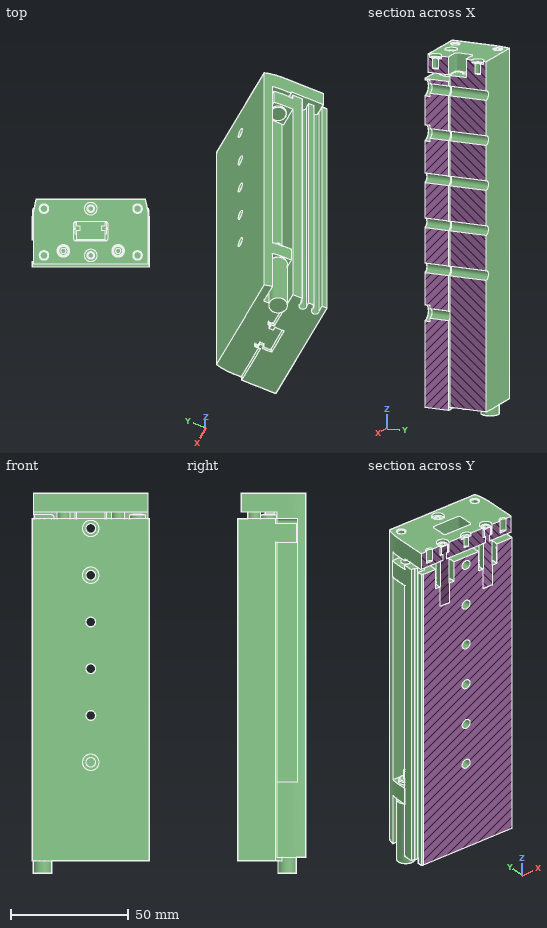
import cadquery as cq


total_height = 162.4
housing_width = 50.0
total_depth = 29.0
housing_bottom = 5.4
housing_top = 151.5
housing_depth = 16.2
table_bottom = 6.8
table_width = 49.0
table_front = 16.7
pitch = 20.0

flank_start = 20.8
flank_inset = 1.22

plate_bottom = 154.3
plate_front = 1.5
plate_hole_row = 5.0
corner_hole_diameter = 3.2
center_hole_diameter = 2.5
thread_relief = 0.4
tapped_depth = 6.0
locating_diameter = 5.4
locating_depth = 1.3
window_width = 14.6
window_front = 11.2
window_back = 19.5
window_corner = 1.0

rail_width = 12.3
rail_front = 11.7
rail_root = 19.0
ball_groove_front = 15.6
ball_groove_back = 17.5
ball_groove_depth = 1.6
relief_width = 13.3
guide_ledge = 14.1
guide_top = 149.4

pocket_inner = 15.6
pocket_back = 25.5
pocket_bottom = 39.0
pocket_top = 153.3
closed_pocket_top = housing_top
pocket_fillet = 1.6
adjuster_block_bottom = 31.0
stop_bottom = 141.3
stop_top = 149.4
stop_clearance = 0.3
stop_axis_x = 20.6
stop_axis_y = 21.1
stop_hole_diameter = 4.2
bumper_diameter = 7.0
bumper_seat = 4.0
bumper_projection = 1.0

absorber_diameter = 8.0
absorber_chamfer = 1.0
absorber_neck_diameter = 6.0
absorber_neck_top = 40.6
absorber_neck_chamfer = 0.5
absorber_tip_diameter = 1.8
absorber_tip_top = 44.5

groove_diameter = 3.2
groove_opening = 3.0
groove_centers = [3.9, 9.7]
groove_step_width = 0.5
groove_step_depth = 1.6
groove_land_inset = 1.0
groove_depth = 5.2
face_hole_diameter = 4.0
face_hole_top = 147.3
face_counterbore = 7.0
face_counterbore_depth = 2.5
counterbored_rows = [0, 1, 5]
through_rows = 5
face_hole_rows = 6

plug_x = 20.0
plug_y = 13.2
plug_diameter = 6.7
plug_tip_diameter = 3.2
plug_side_height = 1.5
plug_height = 2.0

rod_x = 11.7
rod_y = 7.0
rod_diameter = 5.5
rod_insertion = 19.5
gland_diameter = 10.0
gland_depth = 9.7
screw_hole_diameter = 5.4
rod_neck_diameter = 3.2
rod_head_diameter = 4.5
rod_head_chamfer = 0.3
rod_head_bottom = 157.5
rod_head_top = 161.5
rod_socket_diameter = 2.5
rod_socket_depth = 1.6


def box(x0, x1, y0, y1, z0, z1):
    """Box between two opposite corners."""
    return cq.Workplane("XY").box(x1 - x0, y1 - y0, z1 - z0, centered=False).translate((x0, y0, z0))


def rod(x, y, diameter, z0, z1):
    """Vertical cylinder between two heights."""
    return cq.Workplane("XY", origin=(x, y, z0)).circle(diameter / 2).extrude(z1 - z0)


def face_hole(z, diameter, y0, y1):
    """Cylinder along Y on the centre line at height z."""
    return cq.Workplane("XZ", origin=(0, y0, z)).circle(diameter / 2).extrude(y0 - y1)


def face_hole_height(row):
    return face_hole_top - row * pitch


def flanked_block(width, y0, y1, z0, z1):
    """Block with straight sides that curve inward beyond flank_start."""
    half = width / 2
    right = (
        cq.Workplane("XY", origin=(0, 0, z0))
        .moveTo(0, y0)
        .lineTo(half, y0)
        .lineTo(half, flank_start)
        .tangentArcPoint((half - flank_inset, total_depth), relative=False)
        .lineTo(0, total_depth)
        .close()
        .extrude(z1 - z0)
    )
    block = right.union(right.mirror("YZ"))
    return block.intersect(box(-half, half, y0, y1, z0, z1))


def ball_groove(side, z0, z1):
    """Square groove in one side of the rail."""
    outer = rail_width / 2
    groove = box(outer - ball_groove_depth, outer, ball_groove_front, ball_groove_back, z0, z1)
    return groove if side > 0 else groove.mirror("YZ")


def guide_lip(side):
    """Lip beside the rail, with a tongue that runs in the ball groove."""
    lip = box(rail_width / 2, relief_width / 2, guide_ledge, rail_root, housing_bottom, guide_top)
    lip = lip if side > 0 else lip.mirror("YZ")
    return lip.union(ball_groove(side, housing_bottom, guide_top))


def side_pocket(side, z0, z1):
    """Pocket in one side of the table, with rounded inner ends."""
    outer = housing_width / 2
    pocket = box(pocket_inner, outer, table_front, pocket_back, z0, z1)
    pocket = pocket.edges("|Y and <X").fillet(pocket_fillet)
    return pocket if side > 0 else pocket.mirror("YZ")


def tapped_hole(x, y, diameter, z_mouth):
    """Blind hole with a countersunk mouth."""
    hole = rod(x, y, diameter, total_height - tapped_depth, z_mouth)
    cone = (
        cq.Workplane("XY", origin=(x, y, z_mouth))
        .circle(diameter / 2 + thread_relief)
        .workplane(offset=-thread_relief)
        .circle(diameter / 2)
        .loft()
    )
    return hole.union(cone)


def make_table():
    half = table_width / 2
    table = flanked_block(table_width, table_front, total_depth, table_bottom, total_height)
    table = table.union(box(-half, half, plate_front, table_front, plate_bottom, total_height))

    half_relief = relief_width / 2
    table = table.cut(box(-half_relief, half_relief, table_front, rail_root, table_bottom, plate_bottom))
    half_rail = rail_width / 2
    rail = box(-half_rail, half_rail, rail_front, rail_root, table_bottom, plate_bottom)
    for side in (-1, 1):
        rail = rail.cut(ball_groove(side, table_bottom, plate_bottom))
    table = table.union(rail)

    half_window = window_width / 2
    window = box(-half_window, half_window, window_front, window_back, plate_bottom, total_height)
    table = table.cut(window.edges("|Z").fillet(window_corner))

    table = table.cut(side_pocket(-1, pocket_bottom, pocket_top))
    table = table.cut(side_pocket(1, pocket_bottom, closed_pocket_top))
    table = table.cut(
        box(-housing_width / 2, -pocket_inner, table_front, pocket_back, table_bottom, adjuster_block_bottom)
    )
    table = table.cut(
        rod(-stop_axis_x, stop_axis_y, absorber_neck_diameter, adjuster_block_bottom, pocket_bottom)
    )

    for y in (plate_hole_row, plate_hole_row + pitch):
        for x in (-pitch, pitch):
            table = table.cut(tapped_hole(x, y, corner_hole_diameter, total_height))
        table = table.cut(rod(0, y, locating_diameter, total_height - locating_depth, total_height))
        table = table.cut(tapped_hole(0, y, center_hole_diameter, total_height - locating_depth))
    for x in (-rod_x, rod_x):
        table = table.cut(rod(x, rod_y, screw_hole_diameter, rod_head_bottom, total_height))
        table = table.cut(rod(x, rod_y, rod_neck_diameter, plate_bottom, rod_head_bottom))

    for row in range(through_rows):
        table = table.cut(face_hole(face_hole_height(row), face_hole_diameter, 0, total_depth))
    return table


def side_groove(y):
    """Round-bottomed groove, open on the -X side, with a shallow step along its back edge."""
    outer = -housing_width / 2
    center = outer + groove_depth - groove_diameter / 2
    front_edge = y - groove_opening / 2
    back_edge = y + groove_opening / 2
    slot = box(outer, center, front_edge, back_edge, housing_bottom, housing_top)
    step_end = back_edge + groove_step_width
    step = box(outer, outer + groove_step_depth, y, step_end, housing_bottom, housing_top)
    return slot.union(step).union(rod(center, y, groove_diameter, housing_bottom, housing_top))


def stop_block(side):
    """Block on the housing that the table's adjuster runs against."""
    inner = pocket_inner + stop_clearance
    block = flanked_block(
        housing_width, 0, pocket_back - stop_clearance, stop_bottom, stop_top
    ).intersect(box(inner, housing_width / 2, housing_depth, total_depth, stop_bottom, stop_top))
    return block if side > 0 else block.mirror("YZ")


def make_housing():
    half = housing_width / 2
    housing = box(-half, half, 0, housing_depth, housing_bottom, housing_top)

    half_rail = rail_width / 2
    half_relief = relief_width / 2
    channel = box(-half_rail, half_rail, window_front, housing_depth, housing_bottom, housing_top)
    lip_recess = box(-half_relief, half_relief, guide_ledge, housing_depth, guide_top, housing_top)
    housing = housing.cut(channel).cut(lip_recess)
    for side in (-1, 1):
        housing = housing.union(guide_lip(side))

    land_front, land_back = groove_centers
    land_x = -half + groove_land_inset
    housing = housing.cut(box(-half, land_x, land_front, land_back, housing_bottom, housing_top))
    for y in groove_centers:
        housing = housing.cut(side_groove(y))

    for side in (-1, 1):
        housing = housing.union(stop_block(side))
    housing = housing.cut(
        rod(-stop_axis_x, stop_axis_y, bumper_diameter, stop_bottom, stop_bottom + bumper_seat)
    )
    housing = housing.cut(rod(-stop_axis_x, stop_axis_y, stop_hole_diameter, stop_bottom, stop_top))

    for row in range(face_hole_rows):
        z = face_hole_height(row)
        housing = housing.cut(face_hole(z, face_hole_diameter, 0, housing_depth))
        if row in counterbored_rows:
            housing = housing.cut(face_hole(z, face_counterbore, 0, face_counterbore_depth))

    plug_side_top = housing_top + plug_side_height
    plug_cone = (
        cq.Workplane("XY", origin=(plug_x, plug_y, plug_side_top))
        .circle(plug_diameter / 2)
        .workplane(offset=plug_height - plug_side_height)
        .circle(plug_tip_diameter / 2)
        .loft()
    )
    housing = housing.union(rod(plug_x, plug_y, plug_diameter, housing_top, plug_side_top).union(plug_cone))

    for x in (-rod_x, rod_x):
        housing = housing.cut(rod(x, rod_y, gland_diameter, housing_top - gland_depth, housing_top))
        housing = housing.cut(rod(x, rod_y, rod_diameter, housing_top - rod_insertion, housing_top))
    return housing


def make_piston_rod(x):
    """Rod that butts against the end plate, with a socket screw head inside the plate."""
    body = rod(x, rod_y, rod_diameter, housing_top - rod_insertion, plate_bottom)
    body = body.union(rod(x, rod_y, rod_neck_diameter, plate_bottom, rod_head_bottom))
    head = rod(x, rod_y, rod_head_diameter, rod_head_bottom, rod_head_top)
    body = body.union(head.faces(">Z").chamfer(rod_head_chamfer))
    socket = (
        cq.Workplane("XY", origin=(x, rod_y, rod_head_top))
        .polygon(6, rod_socket_diameter)
        .extrude(-rod_socket_depth)
    )
    return body.cut(socket)


def make_absorber():
    x = -stop_axis_x
    y = stop_axis_y
    body = rod(x, y, absorber_diameter, 0, adjuster_block_bottom).faces(">Z").chamfer(absorber_chamfer)
    neck = rod(x, y, absorber_neck_diameter, adjuster_block_bottom, absorber_neck_top)
    neck = neck.faces(">Z").chamfer(absorber_neck_chamfer)
    tip = rod(x, y, absorber_tip_diameter, absorber_neck_top, absorber_tip_top)
    return body.union(neck).union(tip)


def make_bumper():
    return rod(
        -stop_axis_x, stop_axis_y, bumper_diameter, stop_bottom - bumper_projection, stop_bottom + bumper_seat
    )


housing = make_housing()
table = make_table()
piston_rods = [make_piston_rod(x) for x in (-rod_x, rod_x)]
absorber = make_absorber()
bumper = make_bumper()

result = cq.Compound.makeCompound(
    [
        housing.val(),
        table.val(),
        *[piston_rod.val() for piston_rod in piston_rods],
        absorber.val(),
        bumper.val(),
    ]
)